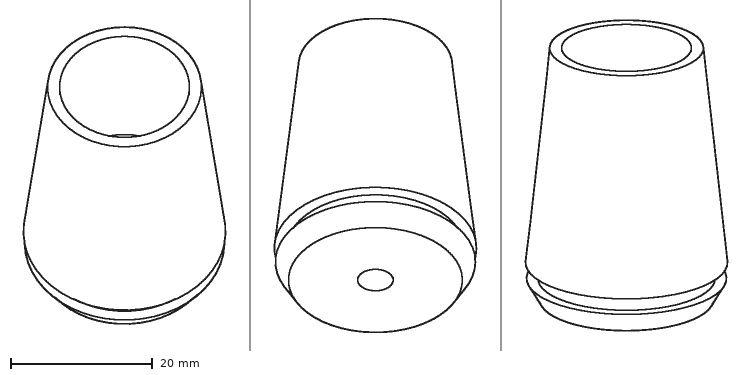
import math

import cadquery as cq

total_height = 38.0
body_base_diameter = 28.5
body_half_angle = 6.0

flange_height = 3.2
flange_diameter = 28.2
flange_half_angle = 30.0
groove_width = 2.4
groove_diameter = 25.0

bore_diameter = 18.3
bore_depth = 22.0
through_hole_diameter = 5.0

body_base_z = flange_height + groove_width
body_height = total_height - body_base_z
body_base_radius = body_base_diameter / 2
body_top_radius = body_base_radius - body_height * math.tan(math.radians(body_half_angle))
flange_top_radius = flange_diameter / 2
flange_bottom_radius = flange_top_radius - flange_height * math.tan(math.radians(flange_half_angle))
groove_radius = groove_diameter / 2
bore_radius = bore_diameter / 2
bore_floor_z = total_height - bore_depth
through_hole_radius = through_hole_diameter / 2


def make_sleeve():
    """Revolve the half section (radius, height) about the Z axis."""
    outer_profile = [
        (flange_bottom_radius, 0),
        (flange_top_radius, flange_height),
        (groove_radius, flange_height),
        (groove_radius, body_base_z),
        (body_base_radius, body_base_z),
        (body_top_radius, total_height),
    ]
    inner_profile = [
        (bore_radius, total_height),
        (bore_radius, bore_floor_z),
        (through_hole_radius, bore_floor_z),
        (through_hole_radius, 0),
    ]
    section = cq.Workplane("XZ").polyline(outer_profile + inner_profile).close()
    return section.revolve(360, (0, 0, 0), (0, 1, 0)).rotate((0, 0, 0), (0, 0, 1), -90)


result = make_sleeve()